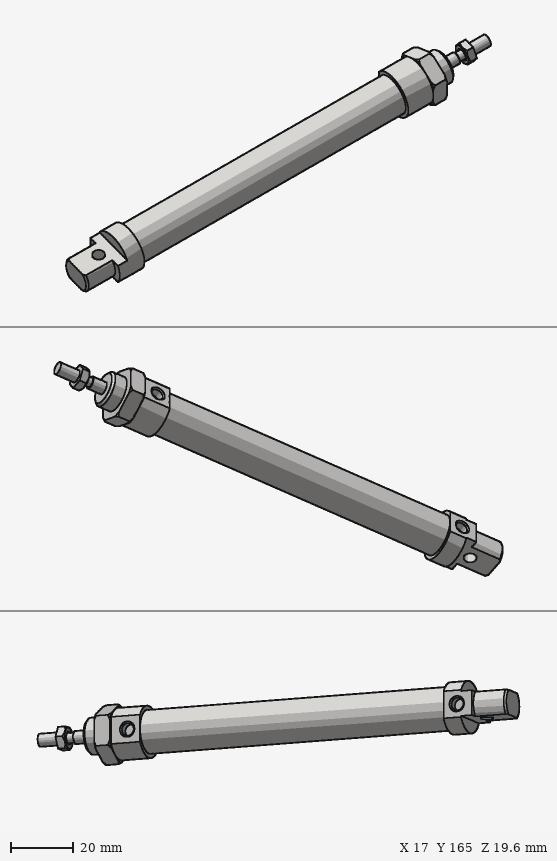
import cadquery as cq
import math


total_length = 165.0
rear_step_y = 11.2
rear_shoulder_y = 15.0
barrel_start_y = 21.1
barrel_end_y = 127.0
head_end_y = 137.1
collar_end_y = 147.7

cap_diameter = 17.0
barrel_diameter = 14.2
collar_diameter = 12.0
collar_chamfer = 0.8
eye_thickness = 8.1
eye_diameter = collar_diameter
eye_chamfer = 0.7
eye_hole_diameter = 4.1
eye_hole_y = 9.0
port_flat_x = -7.3

port_diameter = 4.1
port_mouth_diameter = 5.1
port_depth = 3.3
port_chamfer = (port_mouth_diameter - port_diameter) / 2
rear_port_y = 16.5
front_port_y = 131.5

rod_diameter = 4.3
neck_diameter = 3.3
neck_start_y = 152.6
rod_start_y = barrel_end_y

mounting_nut_width = 17.0
mounting_nut_height = 5.5
mounting_nut_chamfer = 0.7
rod_nut_width = 7.1
rod_nut_height = 3.0
rod_nut_y = 155.0
rod_nut_chamfer = 0.7
neck_end_y = rod_nut_y + rod_nut_height / 2


def cylinder(diameter, start_y, end_y):
    """Cylinder on the Y axis between two stations."""
    base = cq.Workplane("XZ", origin=(0, start_y, 0))
    return base.circle(diameter / 2).extrude(start_y - end_y)


def make_port(y):
    """Cutter for a blind port with a chamfered mouth, entering the flat along +X."""
    mouth_radius = port_mouth_diameter / 2
    bore_radius = port_diameter / 2
    floor_x = port_flat_x + port_depth
    profile = (
        cq.Workplane("XY")
        .moveTo(port_flat_x, y)
        .lineTo(port_flat_x, y + mouth_radius)
        .lineTo(port_flat_x + port_chamfer, y + bore_radius)
        .lineTo(floor_x, y + bore_radius)
        .lineTo(floor_x, y)
        .close()
    )
    return profile.revolve(360, (port_flat_x, y, 0), (floor_x, y, 0))


def slab_cutter(start_y, end_y):
    """Everything above and below the eye thickness between two stations."""
    length = end_y - start_y
    middle_y = (start_y + end_y) / 2
    block = cq.Workplane("XY").box(2 * cap_diameter, length, 2 * cap_diameter)
    slab = cq.Workplane("XY").box(2 * cap_diameter, length, eye_thickness)
    return block.cut(slab).translate((0, middle_y, 0))


def flat_cutter(start_y, end_y):
    """Material outside the port flat between two stations."""
    length = end_y - start_y
    middle_y = (start_y + end_y) / 2
    block = cq.Workplane("XY").box(cap_diameter, length, 2 * cap_diameter)
    return block.translate((port_flat_x - cap_diameter / 2, middle_y, 0))


def make_housing():
    eye = cylinder(eye_diameter, 0, rear_step_y).faces("<Y").chamfer(eye_chamfer)
    rear_cap = cylinder(cap_diameter, rear_step_y, barrel_start_y)
    barrel = cylinder(barrel_diameter, barrel_start_y, barrel_end_y)
    head = cylinder(cap_diameter, barrel_end_y, head_end_y)
    collar = cylinder(collar_diameter, head_end_y, collar_end_y).faces(">Y").chamfer(collar_chamfer)

    rear_cap = rear_cap.cut(flat_cutter(rear_step_y, barrel_start_y))
    head = head.cut(flat_cutter(barrel_end_y, head_end_y))

    housing = eye.union(rear_cap).union(barrel).union(head).union(collar)

    housing = housing.cut(slab_cutter(0, rear_shoulder_y))
    eye_hole = (
        cq.Workplane("XY")
        .center(0, eye_hole_y)
        .circle(eye_hole_diameter / 2)
        .extrude(eye_thickness, both=True)
    )
    housing = housing.cut(eye_hole)

    for port_y in (rear_port_y, front_port_y):
        housing = housing.cut(make_port(port_y))

    return housing.cut(cylinder(rod_diameter, rod_start_y, collar_end_y))


def make_rod():
    rear_length = cylinder(rod_diameter, rod_start_y, neck_start_y)
    neck = cylinder(neck_diameter, neck_start_y, neck_end_y)
    thread = cylinder(rod_diameter, neck_end_y, total_length)
    return rear_length.union(neck).union(thread)


def make_nut(width, height, bore_diameter, start_y, corner_angle, chamfer, both_ends):
    """Hexagon nut with turned corner chamfers on the rear end, or on both ends."""
    corner_diameter = width / math.cos(math.pi / 6)
    end_y = start_y + height
    hexagon = (
        cq.Workplane("XZ", origin=(0, start_y, 0))
        .polygon(6, corner_diameter)
        .extrude(-height)
        .rotate((0, 0, 0), (0, 1, 0), corner_angle)
    )
    corner_envelope = cylinder(corner_diameter, start_y, end_y)
    chamfered_ends = "|Y" if both_ends else "<Y"
    corner_envelope = corner_envelope.faces(chamfered_ends).chamfer(chamfer)
    return hexagon.intersect(corner_envelope).cut(cylinder(bore_diameter, start_y, end_y))


housing = make_housing()
rod = make_rod()
mounting_nut = make_nut(
    width=mounting_nut_width,
    height=mounting_nut_height,
    bore_diameter=collar_diameter,
    start_y=head_end_y,
    corner_angle=90,
    chamfer=mounting_nut_chamfer,
    both_ends=True,
)
rod_nut = make_nut(
    width=rod_nut_width,
    height=rod_nut_height,
    bore_diameter=rod_diameter,
    start_y=rod_nut_y,
    corner_angle=0,
    chamfer=rod_nut_chamfer,
    both_ends=False,
)

result = cq.Compound.makeCompound([housing.val(), rod.val(), mounting_nut.val(), rod_nut.val()])